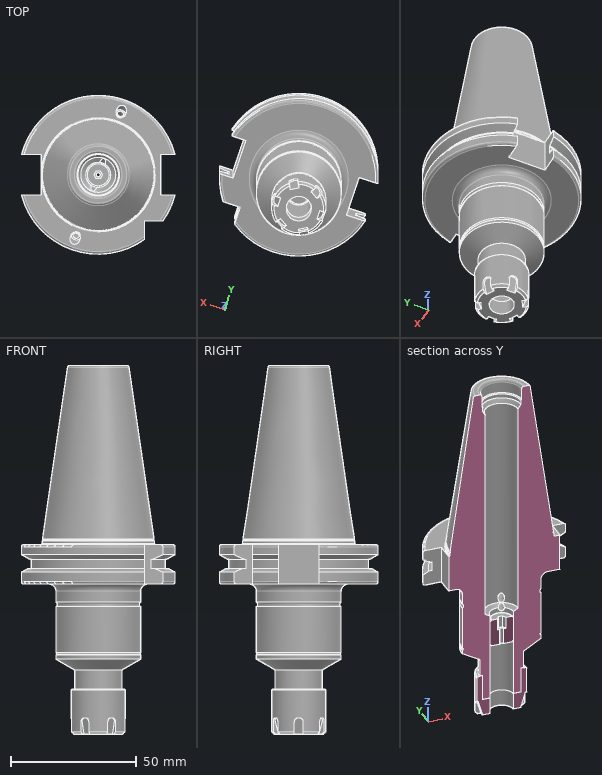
import cadquery as cq
import math


gauge_radius = 44.45 / 2
taper_length = 68.4
total_length = 147.5
taper_slope = 7 / 24 / 2
taper_top_radius = gauge_radius - taper_length * taper_slope
taper_edge_radius = 1.0
taper_foot_z = -1.0
relief_height = 0.8
relief_depth = 0.3
collar_radius = 22.5
collar_fillet_radius = 0.3

flange_radius = 63.55 / 2
flange_top_z = -3.2
flange_bottom_z = -19.1
flange_edge_radius = 1.0
v_groove_floor_radius = 28.0
v_groove_upper_z = -7.3
v_groove_lower_z = -14.3
v_groove_floor_top_z = -9.2
v_groove_floor_bottom_z = -12.9
v_groove_angle = 30
v_groove_slope = math.tan(math.radians(v_groove_angle))
v_groove_upper_inner_radius = flange_radius - (v_groove_upper_z - v_groove_floor_top_z) / v_groove_slope
v_groove_lower_inner_radius = flange_radius - (v_groove_floor_bottom_z - v_groove_lower_z) / v_groove_slope

drive_slot_width = 16.1
drive_slot_floor_left = 22.8
drive_slot_floor_right = 25.0
notch_offset = 18.5

coolant_hole_diameter = 2.5
coolant_counterbore_diameter = 4.0
coolant_counterbore_depth = 1.8
coolant_pitch_radius = 27.0
coolant_turn = 20
coolant_exit_radius = 5.4

body_radius = 17.0
body_fillet_radius = 2.8
ring_groove_z = -27.2
ring_groove_half_width = 0.9
ring_groove_depth = 0.5
mark_groove_top_z = -46.5
mark_groove_height = 1.0
mark_groove_depth = 0.4
body_bottom_z = -49.1
neck_radius = 9.5
shoulder_angle = 30
neck_top_z = body_bottom_z - (body_radius - neck_radius) * math.tan(math.radians(shoulder_angle))

nut_radius = 10.85
nut_top_z = -61.0
nut_bottom_z = taper_length - total_length
nut_top_chamfer = 0.4
nut_bottom_chamfer = 1.0
nut_opening_radius = 5.0
nut_slot_count = 6
nut_slot_width = 3.6
nut_slot_height = 6.6
nut_slot_top_depth = 0.6
nut_slot_bottom_depth = 2.6
nut_slot_corner_radius = 1.75
spigot_radius = 8.5
spigot_bottom_z = -72.0

mouth_edge_radius = 1.0
mouth_radius = 8.5
mouth_depth = 5.8
step_bore_radius = 8.1
step_bore_depth = 8.0
draw_bore_radius = 7.0
draw_bore_top_depth = 9.9
draw_bore_bottom_z = -33.0
drill_angle = 30
screw_bore_radius = 5.0
drill_cone_height = (draw_bore_radius - screw_bore_radius) * math.tan(math.radians(drill_angle))
screw_bore_top_z = draw_bore_bottom_z - drill_cone_height

screw_sink = 2.0
screw_top_z = screw_bore_top_z - screw_sink
screw_length = 12.0
screw_chamfer = 0.6
screw_hex_width = 3.0
screw_hex_depth = 5.0
screw_hole_diameter = 1.5


def revolve_about_z(profile):
    """Turn a closed (radius, z) outline around the Z axis."""
    return profile.close().revolve(360, (0, 0, 0), (0, 1, 0))


def make_holder_blank():
    """Solid turned outside of the holder, from the taper top down to the spigot."""
    foot_radius = gauge_radius - taper_foot_z * taper_slope
    fillet_z = flange_bottom_z - body_fillet_radius
    arc_share = 1 - math.sqrt(0.5)
    corner_shift = body_fillet_radius * arc_share
    relief_middle_z = taper_foot_z - relief_height / 2
    relief_bottom_z = taper_foot_z - relief_height
    profile = (
        cq.Workplane("XZ")
        .moveTo(0, taper_length)
        .lineTo(taper_top_radius, taper_length)
        .lineTo(foot_radius, taper_foot_z)
        .lineTo(foot_radius - relief_depth, relief_middle_z)
        .lineTo(collar_radius, relief_bottom_z)
        .lineTo(collar_radius, flange_top_z + collar_fillet_radius)
        .radiusArc((collar_radius + collar_fillet_radius, flange_top_z), -collar_fillet_radius)
        .lineTo(flange_radius - flange_edge_radius, flange_top_z)
        .radiusArc((flange_radius, flange_top_z - flange_edge_radius), flange_edge_radius)
        .lineTo(flange_radius, v_groove_upper_z)
        .lineTo(v_groove_upper_inner_radius, v_groove_floor_top_z)
        .lineTo(v_groove_floor_radius, v_groove_floor_top_z)
        .lineTo(v_groove_floor_radius, v_groove_floor_bottom_z)
        .lineTo(v_groove_lower_inner_radius, v_groove_floor_bottom_z)
        .lineTo(flange_radius, v_groove_lower_z)
        .lineTo(flange_radius, flange_bottom_z + flange_edge_radius)
        .radiusArc((flange_radius - flange_edge_radius, flange_bottom_z), flange_edge_radius)
        .lineTo(body_radius + body_fillet_radius, flange_bottom_z)
        .threePointArc((body_radius + corner_shift, flange_bottom_z - corner_shift), (body_radius, fillet_z))
        .lineTo(body_radius, ring_groove_z + ring_groove_half_width)
        .threePointArc(
            (body_radius - ring_groove_depth, ring_groove_z),
            (body_radius, ring_groove_z - ring_groove_half_width),
        )
        .lineTo(body_radius, mark_groove_top_z)
        .lineTo(body_radius - mark_groove_depth, mark_groove_top_z - mark_groove_height / 2)
        .lineTo(body_radius, mark_groove_top_z - mark_groove_height)
        .lineTo(body_radius, body_bottom_z)
        .lineTo(neck_radius, neck_top_z)
        .lineTo(neck_radius, nut_top_z)
        .lineTo(spigot_radius, nut_top_z)
        .lineTo(spigot_radius, spigot_bottom_z)
        .lineTo(0, spigot_bottom_z)
    )
    return revolve_about_z(profile).faces(">Z").edges().fillet(taper_edge_radius)


def make_holder_bore():
    """Stepped bore through the holder."""
    step_z = taper_length - mouth_depth
    step_chamfer = mouth_radius - step_bore_radius
    profile = (
        cq.Workplane("XZ")
        .moveTo(0, taper_length)
        .lineTo(mouth_radius + mouth_edge_radius, taper_length)
        .radiusArc((mouth_radius, taper_length - mouth_edge_radius), -mouth_edge_radius)
        .lineTo(mouth_radius, step_z)
        .lineTo(step_bore_radius, step_z - step_chamfer)
        .lineTo(step_bore_radius, taper_length - step_bore_depth)
        .lineTo(draw_bore_radius, taper_length - draw_bore_top_depth)
        .lineTo(draw_bore_radius, draw_bore_bottom_z)
        .lineTo(screw_bore_radius, screw_bore_top_z)
        .lineTo(screw_bore_radius, spigot_bottom_z)
        .lineTo(0, spigot_bottom_z)
    )
    return revolve_about_z(profile)


def make_flange_cuts():
    """Two drive slots of unequal depth and the square corner notch."""
    height = flange_top_z - flange_bottom_z
    length = flange_radius
    mid_z = (flange_top_z + flange_bottom_z) / 2
    slot = cq.Workplane("XY").box(length, drive_slot_width, height)
    left = slot.translate((-drive_slot_floor_left - length / 2, 0, mid_z))
    right = slot.translate((drive_slot_floor_right + length / 2, 0, mid_z))
    notch = cq.Workplane("XY").box(length, length, height).translate(
        (notch_offset + length / 2, -notch_offset - length / 2, mid_z)
    )
    return [left, right, notch]


def make_coolant_hole(turn):
    """Slanted hole from the flange top to the foot of the draw bore, counterbored at its mouth."""
    mouth = cq.Vector(0, coolant_pitch_radius, flange_top_z)
    foot = cq.Vector(0, coolant_exit_radius, draw_bore_bottom_z)
    run = foot - mouth
    lead_in = coolant_counterbore_diameter
    start = mouth - run.normalized() * lead_in
    drill = cq.Solid.makeCylinder(
        coolant_hole_diameter / 2, lead_in + run.Length + coolant_hole_diameter, start, run
    )
    counterbore = cq.Solid.makeCylinder(
        coolant_counterbore_diameter / 2, lead_in + coolant_counterbore_depth, start, run
    )
    return cq.Workplane(drill.fuse(counterbore)).rotate((0, 0, 0), (0, 0, 1), turn)


def make_holder():
    holder = make_holder_blank()
    holder = holder.cut(make_holder_bore())
    for cutter in make_flange_cuts():
        holder = holder.cut(cutter)
    for turn in (-coolant_turn, 180 - coolant_turn):
        holder = holder.cut(make_coolant_hole(turn))
    return holder


def make_nut_slot():
    """Cutter for one wrench slot: round-cornered at the top, its floor sloping inward to the bottom."""
    slot_top_z = nut_bottom_z + nut_slot_height
    clear_radius = nut_radius + nut_slot_top_depth
    wedge = (
        cq.Workplane("XZ")
        .moveTo(nut_radius - nut_slot_bottom_depth, nut_bottom_z)
        .lineTo(nut_radius - nut_slot_top_depth, slot_top_z)
        .lineTo(clear_radius, slot_top_z)
        .lineTo(clear_radius, nut_bottom_z)
        .close()
        .extrude(nut_slot_width / 2, both=True)
    )
    return wedge.edges("|X and >Z").fillet(nut_slot_corner_radius)


def make_nut():
    """Clamping nut: a sleeve over the spigot with a front lip and wrench slots."""
    profile = (
        cq.Workplane("XZ")
        .moveTo(spigot_radius, nut_top_z)
        .lineTo(nut_radius - nut_top_chamfer, nut_top_z)
        .lineTo(nut_radius, nut_top_z - nut_top_chamfer)
        .lineTo(nut_radius, nut_bottom_z + nut_bottom_chamfer)
        .lineTo(nut_radius - nut_bottom_chamfer, nut_bottom_z)
        .lineTo(nut_opening_radius, nut_bottom_z)
        .lineTo(nut_opening_radius, spigot_bottom_z)
        .lineTo(spigot_radius, spigot_bottom_z)
    )
    nut = revolve_about_z(profile)
    slot = make_nut_slot()
    for index in range(nut_slot_count):
        nut = nut.cut(slot.rotate((0, 0, 0), (0, 0, 1), index * 360 / nut_slot_count))
    return nut


def make_stop_screw():
    """Screw in the lower bore, with a hex socket and a fine coolant hole."""
    return (
        cq.Workplane("XY", origin=(0, 0, screw_top_z - screw_length))
        .circle(screw_bore_radius)
        .extrude(screw_length)
        .faces(">Z or <Z")
        .chamfer(screw_chamfer)
        .faces(">Z")
        .workplane()
        .polygon(6, screw_hex_width / math.cos(math.pi / 6))
        .cutBlind(-screw_hex_depth)
        .faces(">Z")
        .workplane()
        .hole(screw_hole_diameter)
    )


holder = make_holder()
nut = make_nut()
stop_screw = make_stop_screw()

result = cq.Compound.makeCompound([holder.solids().val(), nut.solids().val(), stop_screw.solids().val()])